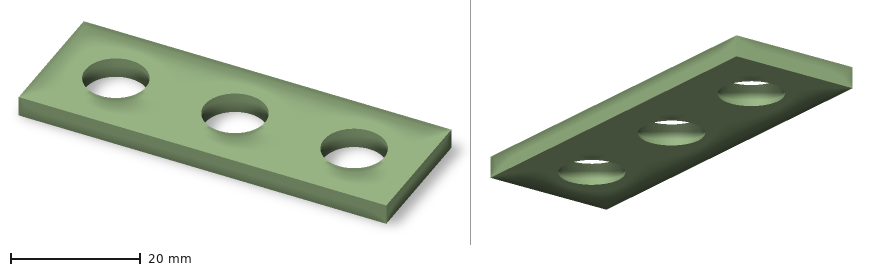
import cadquery as cq

length = 63.5
width = 22.35
thickness = 3.5

hole_diameter = 10.4
hole_spacing = 20.6
hole_count = 3

bar = cq.Workplane("XY").box(length, width, thickness)

result = (
    bar.faces(">Z")
    .workplane()
    .rarray(hole_spacing, width, hole_count, 1)
    .hole(hole_diameter)
)